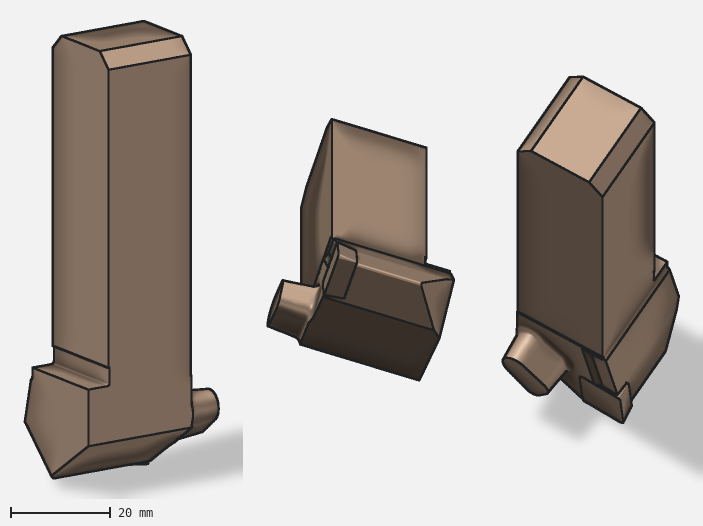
import cadquery as cq
import math

SHANK_SIZE = 20.0
TOTAL_HEIGHT = 93.0
TOP_CHAMFER = 3.2
RELIEF_DEPTH = 0.3
RELIEF_TOP_Z = 27.6

HEAD_FRONT_Y = -24.9
HEAD_BACK_Y = 0.2
HEAD_BACK_TOP_Z = 22.9
LEDGE_Z = 23.9
LEDGE_FILLET = 0.6
NECK_TOP_Z = 22.2
NECK_RADIUS = 1.3
NECK_ANGLE = 55.0
SHOULDER = (-3.3, 9.8)
RIGHT_CORNER_Z = 12.1
UNDERSIDE_ANGLE = 35.0
SEAT_INSET = 0.8
SEAT_CORNER_RADIUS = 0.6
RECESS_DEPTH = 0.6
RECESS_FLOOR_WIDTH = 3.35
RECESS_RAMP_ANGLE = 20.0
CUTTER_LENGTH = 37.2

CORNER_CUT_START = (-2.8, 12.1)
CORNER_CUT_HEADING = 44.0
CORNER_CUT_TILT = 40.0
CORNER_CUT_REACH = 13.9

INSERT_EDGE = 9.7
INSERT_POINT_ANGLE = 80.0
INSERT_THICKNESS = 4.1
INSERT_CLEARANCE = 7.0
EDGE_LEAN = (90.0 - INSERT_POINT_ANGLE) / 2
NOSE_RADIUS = 0.7
INSERT_LEFT_X = -5.0

BOSS_LOBES = [(11.9, 10.2, 2.8), (15.7, 14.7, 3.9), (10.5, 12.4, 3.0)]
BOSS_END_Y = 7.6
BOSS_DRAFT = 5.0
BOSS_END_TILT = 1.0
BOSS_FILLET = 1.4
BOSS_FOOT_MARGIN = 4.65
BOSS_FOOT_THICKNESS = 0.9
SMALL = 0.1


def along(point, angle, distance):
    """Point at a distance from another one, the angle counted from +X toward +Z."""
    turn = math.radians(angle)
    return (point[0] + distance * math.cos(turn), point[1] + distance * math.sin(turn))


def crossing(point_a, angle_a, point_b, angle_b):
    """Point where two lines, each given by a point and an angle, cross."""
    a, b = math.radians(angle_a), math.radians(angle_b)
    dx, dz = point_b[0] - point_a[0], point_b[1] - point_a[1]
    distance = (dx * math.sin(b) - dz * math.cos(b)) / math.sin(b - a)
    return along(point_a, angle_a, distance)


def section(y):
    """Workplane at Y = y with local axes X and Z; it extrudes toward -Y."""
    return cq.Workplane("XZ", origin=(0, y, 0))


side_edge_angle = 90.0 - EDGE_LEAN
bottom_edge_angle = EDGE_LEAN
bisector_angle = (side_edge_angle + bottom_edge_angle) / 2
half_point_sine = math.sin(math.radians(INSERT_POINT_ANGLE / 2))
nose_centre = (INSERT_LEFT_X + NOSE_RADIUS, NOSE_RADIUS)
insert_point = along(nose_centre, bisector_angle, -NOSE_RADIUS / half_point_sine)


def make_insert():
    side_end = along(insert_point, side_edge_angle, INSERT_EDGE)
    bottom_end = along(insert_point, bottom_edge_angle, INSERT_EDGE)
    far_end = along(bottom_end, side_edge_angle, INSERT_EDGE)
    outline = [insert_point, bottom_end, far_end, side_end]
    rhombus = cq.Sketch().polygon(outline + [insert_point]).vertices().fillet(NOSE_RADIUS)
    return section(HEAD_BACK_Y).placeSketch(rhombus).extrude(INSERT_THICKNESS, taper=INSERT_CLEARANCE)


def make_shank():
    height = TOTAL_HEIGHT - HEAD_BACK_TOP_Z
    shank = section(0).rect(SHANK_SIZE, height, centered=False).extrude(SHANK_SIZE)
    shank = shank.translate((0, 0, HEAD_BACK_TOP_Z))
    shank = shank.edges("|Y and >Z").chamfer(TOP_CHAMFER)
    relief_height = RELIEF_TOP_Z - HEAD_BACK_TOP_Z
    relief = section(RELIEF_DEPTH - SHANK_SIZE).rect(SHANK_SIZE, relief_height, centered=False)
    relief = relief.extrude(RELIEF_DEPTH)
    return shank.cut(relief.translate((0, 0, HEAD_BACK_TOP_Z)))


neck_centre = (-NECK_RADIUS, NECK_TOP_Z)
neck_middle = along(neck_centre, -NECK_ANGLE / 2, NECK_RADIUS)
neck_end = along(neck_centre, -NECK_ANGLE, NECK_RADIUS)
inset_point = along(insert_point, bisector_angle, SEAT_INSET / half_point_sine)
right_corner = (SHANK_SIZE, RIGHT_CORNER_Z)
seat_corner = crossing(SHOULDER, side_edge_angle, inset_point, bottom_edge_angle)
underside_start = crossing(inset_point, bottom_edge_angle, right_corner, UNDERSIDE_ANGLE)


def head_outline(y):
    return (
        section(y)
        .moveTo(0, LEDGE_Z)
        .lineTo(0, NECK_TOP_Z)
        .threePointArc(neck_middle, neck_end)
        .lineTo(*SHOULDER)
        .lineTo(*seat_corner)
        .lineTo(*underside_start)
        .lineTo(*right_corner)
        .lineTo(SHANK_SIZE, LEDGE_Z)
        .close()
    )


def edge_cutter(start, heading, y, profile):
    """Bar that cuts along a straight edge of the head.

    Its axis passes through the point start (X, Z) at the given y and falls at the heading below
    horizontal. The profile points are (distance outward from the axis, distance toward +Y).
    """
    turn = math.radians(heading)
    plane = cq.Plane(
        origin=(start[0], y, start[1]),
        xDir=(-math.sin(turn), 0, -math.cos(turn)),
        normal=(math.cos(turn), 0, -math.sin(turn)),
    )
    return cq.Workplane(plane).polyline(profile).close().extrude(CUTTER_LENGTH / 2, both=True)


def corner_cutter():
    reach = CORNER_CUT_REACH
    rise = reach * math.tan(math.radians(CORNER_CUT_TILT))
    profile = [(0, 0), (reach, 0), (reach, rise)]
    return edge_cutter(CORNER_CUT_START, CORNER_CUT_HEADING, HEAD_FRONT_Y, profile)


def back_recess_cutter():
    """Flat strip along the slanted side, ramping up to the head back and ending below the neck top."""
    slant_angle = math.degrees(math.atan2(neck_end[1] - SHOULDER[1], neck_end[0] - SHOULDER[0]))
    ramp_width = RECESS_DEPTH / math.tan(math.radians(RECESS_RAMP_ANGLE))
    ramp_top = along(SHOULDER, slant_angle - 90, RECESS_FLOOR_WIDTH + ramp_width)
    reach = 2 * (RECESS_FLOOR_WIDTH + ramp_width)
    profile = [(0, 0), (ramp_width, -RECESS_DEPTH), (reach, -RECESS_DEPTH), (reach, 0)]
    strip = edge_cutter(ramp_top, 180 - slant_angle, HEAD_BACK_Y, profile)
    above_neck = cq.Workplane("XY", origin=(0, 0, NECK_TOP_Z)).rect(CUTTER_LENGTH, CUTTER_LENGTH)
    return strip.cut(above_neck.extrude(CUTTER_LENGTH))


def make_head():
    head = head_outline(HEAD_BACK_Y).extrude(HEAD_BACK_Y - HEAD_FRONT_Y)
    seat_edge = cq.selectors.NearestToPointSelector((seat_corner[0], HEAD_FRONT_Y / 2, seat_corner[1]))
    head = head.edges("|Y").edges(seat_edge).fillet(SEAT_CORNER_RADIUS)

    pad_trim = section(HEAD_BACK_Y).rect(SHANK_SIZE, LEDGE_Z - HEAD_BACK_TOP_Z, centered=False)
    pad_trim = pad_trim.extrude(HEAD_BACK_Y).translate((0, 0, HEAD_BACK_TOP_Z))
    return head.cut(pad_trim).cut(corner_cutter()).cut(back_recess_cutter())


def tangent_points(lobe_a, lobe_b):
    """Ends of the outer tangent between two lobes taken counterclockwise."""
    (xa, za, ra), (xb, zb, rb) = lobe_a, lobe_b
    heading = math.atan2(zb - za, xb - xa)
    swing = math.acos((ra - rb) / math.hypot(xb - xa, zb - za))
    normal = math.degrees(heading - swing)
    return along((xa, za), normal, ra), along((xb, zb), normal, rb)


def end_trim():
    """Block whose tilted face trims the boss end, pivoting at the tip of the left lobe."""
    draft_inset = (BOSS_END_Y - HEAD_BACK_Y) * math.tan(math.radians(BOSS_DRAFT))
    pivot_x = min(x - radius for x, z, radius in BOSS_LOBES) + draft_inset
    trim = section(BOSS_END_Y).rect(2 * SHANK_SIZE, 2 * SHANK_SIZE).extrude(-BOSS_END_Y)
    trim = trim.translate((pivot_x, 0, 0))
    return trim.rotate((pivot_x, BOSS_END_Y, 0), (pivot_x, BOSS_END_Y, 1), -BOSS_END_TILT)


def make_boss():
    """Boss with its root fillet, trimmed to the outline of the head."""
    lobes = BOSS_LOBES
    sides = [tangent_points(lobes[i], lobes[(i + 1) % len(lobes)]) for i in range(len(lobes))]
    outline = section(HEAD_BACK_Y).moveTo(*sides[0][0])
    for i in range(len(lobes)):
        x, z, radius = lobes[(i + 1) % len(lobes)]
        side_end = sides[i][1]
        next_start = sides[(i + 1) % len(lobes)][0]
        start_angle = math.degrees(math.atan2(side_end[1] - z, side_end[0] - x))
        sweep = math.degrees(math.atan2(next_start[1] - z, next_start[0] - x)) - start_angle
        middle = along((x, z), start_angle + (sweep % 360) / 2, radius)
        outline = outline.lineTo(*side_end).threePointArc(middle, next_start)
    boss = outline.close().extrude(HEAD_BACK_Y - BOSS_END_Y, taper=BOSS_DRAFT)
    boss = boss.cut(end_trim())

    foot_size = SHANK_SIZE + 2 * BOSS_FOOT_MARGIN
    foot = section(HEAD_BACK_Y).rect(foot_size, foot_size, centered=False).extrude(BOSS_FOOT_THICKNESS)
    boss = boss.union(foot.translate((-BOSS_FOOT_MARGIN, 0, -BOSS_FOOT_MARGIN)))
    root_edges = cq.selectors.BoxSelector(
        (0, HEAD_BACK_Y - SMALL, 0), (SHANK_SIZE, HEAD_BACK_Y + SMALL, SHANK_SIZE)
    )
    boss = boss.edges(root_edges).fillet(BOSS_FILLET)
    return boss.intersect(head_outline(HEAD_BACK_Y).extrude(HEAD_BACK_Y - BOSS_END_Y))


def make_holder():
    holder = make_shank().union(make_head())
    ledge_corner = (SHANK_SIZE / 2, RELIEF_DEPTH - SHANK_SIZE, LEDGE_Z)
    holder = holder.edges(cq.selectors.NearestToPointSelector(ledge_corner)).fillet(LEDGE_FILLET)
    return holder.union(make_boss()).cut(make_insert()).solids()


holder = make_holder()
insert = make_insert()
result = cq.Compound.makeCompound([holder.val(), insert.val()])